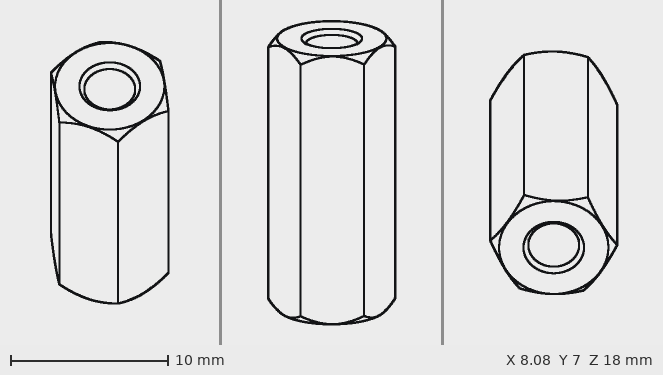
import cadquery as cq
import math

length = 18.0
across_flats = 7.0
across_corners = across_flats / math.cos(math.radians(30))

end_face_diameter = 6.95
corner_chamfer = (across_corners - end_face_diameter) / 2

bore_diameter = 3.24
countersink_diameter = 3.85
countersink_depth = (countersink_diameter - bore_diameter) / 2


def hexagonal_body():
    """Hexagonal bar whose corners are turned down to a cone at each end."""
    bar = cq.Workplane("XY").polygon(6, across_corners).extrude(length)
    turned_envelope = (
        cq.Workplane("XY")
        .circle(across_corners / 2)
        .extrude(length)
        .edges()
        .chamfer(corner_chamfer)
    )
    return bar.intersect(turned_envelope)


def countersunk_bore():
    """Cutting volume of the bore, widening towards both end faces."""
    bore_radius = bore_diameter / 2
    countersink_radius = countersink_diameter / 2
    return (
        cq.Workplane("XZ")
        .moveTo(0, 0)
        .lineTo(countersink_radius, 0)
        .lineTo(bore_radius, countersink_depth)
        .lineTo(bore_radius, length - countersink_depth)
        .lineTo(countersink_radius, length)
        .lineTo(0, length)
        .close()
        .revolve(360, (0, 0, 0), (0, 1, 0))
    )


result = hexagonal_body().cut(countersunk_bore())